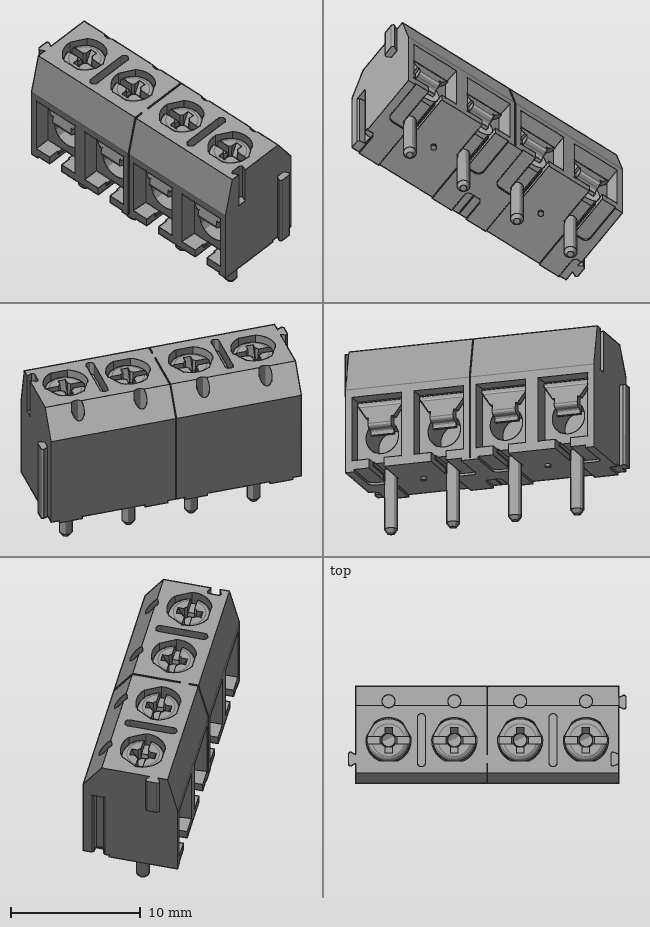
import cadquery as cq

pitch = 5.08
module_length = 2 * pitch
body_length = 2 * module_length
overall_length = 21.42
body_depth = 7.5
body_height = 10.0
foot_height = 0.2
front_shoulder_z = 6.68
rear_shoulder_z = 7.75
top_front_y = 0.8
top_rear_y = 6.02
seam_width = 0.06
seam_depth = 0.06

pole_y = 3.35
pole_xs = [pitch / 2, 3 * pitch / 2]

pin_y = 3.36
pin_diameter = 1.0
pin_length = 4.2
pin_tip_diameter = 0.51
pin_tip_length = 0.35
pin_root_z = 1.29

pocket_width = 4.05
pocket_draft = 0.09
pocket_depth = 1.33
pocket_bottom_z = 0.92
pocket_top_z = 6.05
wire_hole_diameter = 2.65
wire_hole_z = 3.02
wire_hole_end_y = 4.28
sill_slot_width = 1.25
sill_slot_neck_width = 1.05
sill_slot_mouth_depth = 0.9
sill_slot_ceiling_z = 0.65

leaf_top_half = 1.9
leaf_waist_half = 1.14
leaf_neck_half = 0.95
leaf_top_z = 5.9
leaf_taper_z = 5.61
leaf_crease_z = 5.45
leaf_waist_z = 4.48
leaf_bend_z = 4.03
leaf_bottom_z = 3.25
leaf_top_y = 1.15
leaf_crease_y = 0.9
leaf_top_radius = 1.07
leaf_bend_y = 0.69
lip_radius = 0.36
lip_end_y = 1.37
leaf_root_y = 1.65

bore_diameter = 3.5
bore_flat_distance = 1.6
bore_floor_z = 7.93
head_diameter = 3.3
head_flat_diameter = 2.5
head_top_z = 9.6
drive_slot_width = 0.58
drive_slot_depth = 0.75
cross_width = drive_slot_width
cross_top_half = 0.99
cross_bottom_half = 0.51
cross_depth = 1.07
cross_core_radius = 0.58
cross_point_depth = 1.29

probe_hole_diameter = 1.0
probe_hole_y = 6.35
probe_hole_floor_z = front_shoulder_z
top_slot_width = 0.65
top_slot_length = 4.1
top_slot_depth = 1.07

rail_height = (overall_length - body_length) / 2
rail_width = 1.1
rail_neck_width = 0.7
rail_corner = 0.2
front_rail_y = 1.88
rear_rail_y = 6.28
groove_depth = 0.62
flare_depth = 0.13
flare_mouth_width = 1.05
flare_neck_width = 0.77
flare_floor_width = 0.65

foot_width = 0.69
foot_jog_y = body_depth / 2
foot_end_y = 5.42
foot_front_fillet = 0.5
foot_rear_fillet = 0.35
peg_diameter = 0.45


def box(x0, x1, y0, y1, z0, z1):
    return cq.Workplane("XY").box(x1 - x0, y1 - y0, z1 - z0, centered=False).translate((x0, y0, z0))


def cylinder(x, y, diameter, z0, z1):
    return cq.Workplane("XY", origin=(x, y, z0)).circle(diameter / 2).extrude(z1 - z0)


def side_outline(x):
    """Housing end outline, drawn on a plane facing +X at the given X."""
    return cq.Workplane("YZ", origin=(x, 0, 0)).polyline([
        (0, foot_height),
        (body_depth, foot_height),
        (body_depth, rear_shoulder_z),
        (top_rear_y, body_height),
        (top_front_y, body_height),
        (0, front_shoulder_z),
    ]).close()


def feet():
    """Corner foot, jogging inwards at the rear to clear the rail groove, and a round peg."""
    rear_end_x = pole_xs[0]
    corner = (
        cq.Workplane("XY")
        .moveTo(0, 0)
        .lineTo(foot_width, 0)
        .lineTo(foot_width, foot_jog_y - foot_front_fillet)
        .radiusArc((foot_width + foot_front_fillet, foot_jog_y), foot_front_fillet)
        .lineTo(rear_end_x, foot_jog_y)
        .lineTo(rear_end_x, body_depth)
        .lineTo(foot_width, body_depth)
        .lineTo(foot_width, foot_end_y + foot_rear_fillet)
        .radiusArc((foot_width - foot_rear_fillet, foot_end_y), foot_rear_fillet)
        .lineTo(0, foot_end_y)
        .close()
        .extrude(foot_height)
    )
    other_corner = corner.mirror("YZ").translate((module_length, 0, 0))
    peg = cylinder(pitch, body_depth / 2, peg_diameter, 0, foot_height)
    return corner.union(other_corner).union(peg)


def wire_entry(x):
    """Pocket with one drafted side, the wire hole in its rear wall and the slot in its sill."""
    left = x - pocket_width / 2
    right = x + pocket_width / 2
    pocket = (
        cq.Workplane("XY", origin=(0, 0, pocket_bottom_z))
        .polyline([(left, 0), (right, 0), (right - pocket_draft, pocket_depth), (left, pocket_depth)])
        .close()
        .extrude(pocket_top_z - pocket_bottom_z)
    )
    hole = (
        cq.Workplane("XZ", origin=(x, 0, wire_hole_z))
        .circle(wire_hole_diameter / 2)
        .extrude(-wire_hole_end_y)
    )
    half = sill_slot_width / 2
    neck_half = sill_slot_neck_width / 2
    mouth = box(x - half, x + half, 0, sill_slot_mouth_depth, 0, pocket_bottom_z)
    channel = box(x - half, x + half, 0, pin_y, 0, sill_slot_ceiling_z)
    neck = box(x - neck_half, x + neck_half, 0, pin_y, 0, pocket_bottom_z)
    return pocket.union(hole).union(mouth).union(channel).union(neck)


def leaf(x):
    """Wire guard: a leaning plate with a lip curled under it, trimmed to a funnel outline."""
    plate = (
        cq.Workplane("YZ", origin=(x - leaf_top_half, 0, 0))
        .moveTo(leaf_root_y, leaf_top_z)
        .lineTo(leaf_top_y, leaf_top_z)
        .radiusArc((leaf_crease_y, leaf_crease_z), -leaf_top_radius)
        .lineTo(leaf_bend_y, leaf_bend_z)
        .radiusArc((leaf_bend_y + lip_radius, leaf_bend_z - lip_radius), -lip_radius)
        .tangentArcPoint((lip_end_y, leaf_bottom_z), relative=False)
        .lineTo(leaf_root_y, leaf_bottom_z)
        .close()
        .extrude(2 * leaf_top_half)
    )
    right_side = [
        (leaf_neck_half, leaf_bottom_z),
        (leaf_neck_half, leaf_waist_z),
        (leaf_waist_half, leaf_waist_z),
        (leaf_top_half, leaf_taper_z),
        (leaf_top_half, leaf_top_z),
    ]
    left_side = [(-px, pz) for px, pz in reversed(right_side)]
    funnel = (
        cq.Workplane("XZ", origin=(x, 0, 0))
        .polyline(right_side + left_side)
        .close()
        .extrude(-leaf_root_y)
    )
    return plate.intersect(funnel)


def pin(x):
    tip_inset = (pin_diameter - pin_tip_diameter) / 2
    blank = cylinder(x, pin_y, pin_diameter, -pin_length, pin_root_z)
    return blank.faces("<Z").chamfer(pin_tip_length, tip_inset)


def screw_bore(x):
    """Round bore narrowed by three flats, one of them towards the wire side."""
    circle = cylinder(x, pole_y, bore_diameter, bore_floor_z, body_height)
    triangle = (
        cq.Workplane("XY", origin=(x, pole_y, bore_floor_z))
        .transformed(rotate=(0, 0, 90))
        .polygon(3, 4 * bore_flat_distance)
        .extrude(body_height - bore_floor_z)
    )
    return circle.intersect(triangle)


def drive_recess():
    """Straight slot and cross recess, with the head top at Z = 0."""
    slot = cq.Workplane("XY").box(
        head_diameter, drive_slot_width, drive_slot_depth, centered=(True, True, False)
    ).translate((0, 0, -drive_slot_depth))
    core = (
        cq.Workplane("XZ")
        .polyline([
            (0, 0),
            (cross_core_radius, 0),
            (cross_bottom_half, -cross_depth),
            (0, -cross_point_depth),
        ])
        .close()
        .revolve(360, (0, 0), (0, 1))
    )
    arm = (
        cq.Workplane("XZ")
        .polyline([
            (-cross_top_half, 0),
            (cross_top_half, 0),
            (cross_bottom_half, -cross_depth),
            (-cross_bottom_half, -cross_depth),
        ])
        .close()
        .extrude(cross_width / 2, both=True)
    )
    other_arm = arm.rotate((0, 0, 0), (0, 0, 1), 90)
    return slot.union(core).union(arm).union(other_arm)


def screw_head(x):
    head = cylinder(x, pole_y, head_diameter, bore_floor_z, head_top_z)
    head = head.faces(">Z").edges().fillet((head_diameter - head_flat_diameter) / 2)
    return head.cut(drive_recess().translate((x, pole_y, head_top_z)))


def module():
    block = side_outline(0).extrude(module_length).union(feet())
    top_slot = (
        cq.Workplane("XY", origin=(pitch, pole_y, body_height))
        .slot2D(top_slot_length, top_slot_width, 90)
        .extrude(-top_slot_depth)
    )
    block = block.cut(top_slot)
    for x in pole_xs:
        block = block.cut(wire_entry(x)).cut(screw_bore(x))
        block = block.cut(cylinder(x, probe_hole_y, probe_hole_diameter, probe_hole_floor_z, body_height))
        block = block.union(leaf(x)).union(pin(x)).union(screw_head(x))
    return block


def dovetail(x, y, height, direction, z0, z1):
    """Dovetail bar standing out from the plane at x, with rounded outer corners."""
    shoulder = x + direction * (height - rail_corner)
    outer = x + direction * height
    half = rail_width / 2
    neck = rail_neck_width / 2
    flat = half - rail_corner
    radius = -direction * rail_corner
    return (
        cq.Workplane("XY", origin=(0, y, z0))
        .moveTo(x, -neck)
        .lineTo(shoulder, -half)
        .radiusArc((outer, -flat), radius)
        .lineTo(outer, flat)
        .radiusArc((shoulder, half), radius)
        .lineTo(x, neck)
        .close()
        .extrude(z1 - z0)
    )


def flared_groove(y, z0, z1):
    """Cutter for a groove in the X = 0 end, wide at the mouth and tapering inwards."""
    half = flare_mouth_width / 2
    neck = flare_neck_width / 2
    floor_half = flare_floor_width / 2
    return (
        cq.Workplane("XY", origin=(0, y, z0))
        .polyline([
            (0, -half),
            (flare_depth, -neck),
            (groove_depth, -floor_half),
            (groove_depth, floor_half),
            (flare_depth, neck),
            (0, half),
        ])
        .close()
        .extrude(z1 - z0)
    )


def seam():
    """Shallow line around the joint of the modules, bridged where a rail locks them together."""
    start_x = module_length - seam_width / 2
    ring = side_outline(start_x).extrude(seam_width)
    ring = ring.cut(side_outline(start_x).offset2D(-seam_depth).extrude(seam_width))
    bridge = box(
        start_x, start_x + seam_width,
        front_rail_y - rail_neck_width / 2, front_rail_y + rail_neck_width / 2,
        front_shoulder_z, body_height,
    )
    return ring.cut(bridge)


left_module = module()
right_module = left_module.mirror("YZ").translate((body_length, 0, 0))
result = left_module.union(right_module).cut(seam())

result = result.union(dovetail(0, front_rail_y, rail_height, -1, front_shoulder_z, body_height))
result = result.cut(dovetail(body_length, front_rail_y, groove_depth, -1, front_shoulder_z, body_height))
result = result.union(dovetail(body_length, rear_rail_y, rail_height, 1, foot_height, front_shoulder_z))
result = result.cut(flared_groove(rear_rail_y, foot_height, front_shoulder_z))